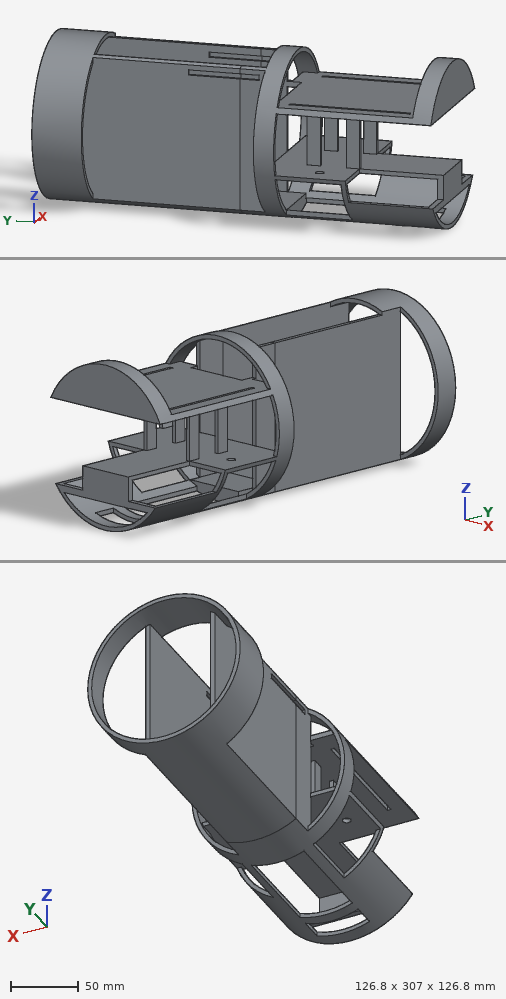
import cadquery as cq


LENGTH = 307.0
OUTER_RADIUS = 126.8 / 2
INNER_RADIUS = 120.0 / 2
SPLIT_Y = 154.7

FRONT_RING_START = 119.7
FRONT_RING_END = 135.5

DECK_BOTTOM = 28.2
DECK_TOP = 32.5
DECK_END = 131.0
DECK_NOTCH_START = 123.5
DECK_NOTCH_LEFT = -31.5
CAP_LENGTH = 14.7
DECK_SLOT_X = 42.5
DECK_SLOT_WIDTH = 2.8
DECK_SLOT_START = 20.3
DECK_SLOT_END = 113.5

SHELF_TOP = -18.0
SHELF_BOTTOM = -21.5
SHELF_START = 65.0
SHELF_HOLE_DIAMETER = 6.5
SHELF_HOLE_X = DECK_SLOT_X
SHELF_HOLE_Y = 90.3

BOX_HALF_WIDTH = 23.5
BOX_WALL = 4.5
POST_THICKNESS = 3.0
POST_WIDTH = 10.0
POST_STARTS = (SHELF_START, 95.5)

CRADLE_TOP = -36.8
CROSSBAR_BOTTOM = -42.0
CRADLE_ARCH_WIDTH = 3.7
WINDOW_X = 29.5
BOTTOM_OPENING_HALF_WIDTH = 21.8
BOTTOM_SLOT_START = 12.0
BOTTOM_SLOT_END = 30.7
BOTTOM_OPENING_START = 40.2

LEFT_PLATE_OUTER = -33.0
RIGHT_PLATE_OUTER = 24.5
PLATE_THICKNESS = 3.7
PLATE_TOP = 56.0
PLATE_END = 288.3
LEFT_PLATE_START = 130.2
RIGHT_PLATE_START = 134.8
FLOOR_TOP = -52.2

GROOVE_DEPTH = 2.5
GROOVE_BOTTOM = 46.5
GROOVE_TOP = 50.5
GROOVE_START = 140.0
GROOVE_END = 195.0

REAR_RING_START = 268.5

LEFT_PLATE_INNER = LEFT_PLATE_OUTER + PLATE_THICKNESS
RIGHT_PLATE_INNER = RIGHT_PLATE_OUTER - PLATE_THICKNESS
WINDOW_START = SHELF_START + CRADLE_ARCH_WIDTH
FULL_WIDTH = (-OUTER_RADIUS, OUTER_RADIUS)


def block(x_range, y_range, z_range):
    """Box between the given limits along X, Y and Z."""
    x0, x1 = x_range
    y0, y1 = y_range
    z0, z1 = z_range
    return cq.Workplane("XY").box(x1 - x0, y1 - y0, z1 - z0, centered=False).translate((x0, y0, z0))


def disc(radius, start, end):
    """Round bar on the tube axis, from start to end along Y."""
    return cq.Workplane("XZ", origin=(0, start, 0)).circle(radius).extrude(start - end)


def ring(start, end):
    """Length of tube from start to end along Y."""
    return disc(OUTER_RADIUS, start, end).cut(disc(INNER_RADIUS, start, end))


def slab(x_range, y_range, z_range):
    """Box trimmed to the outside of the tube."""
    return block(x_range, y_range, z_range).intersect(disc(OUTER_RADIUS, *y_range))


def side_plate(outer_x, inner_x, groove_x, start, end):
    """Upright plate with a groove running along the face at groove_x."""
    x_range = (min(outer_x, inner_x), max(outer_x, inner_x))
    plate = slab(x_range, (start, end), (-OUTER_RADIUS, PLATE_TOP))
    groove = block(
        (groove_x, groove_x + GROOVE_DEPTH), (GROOVE_START, GROOVE_END), (GROOVE_BOTTOM, GROOVE_TOP)
    )
    return plate.cut(groove)


def side_plates(left_start, right_start, end):
    """Left and right plates, which may start at different places but end together."""
    left = side_plate(LEFT_PLATE_OUTER, LEFT_PLATE_INNER, LEFT_PLATE_OUTER, left_start, end)
    right = side_plate(RIGHT_PLATE_OUTER, RIGHT_PLATE_INNER, RIGHT_PLATE_INNER, right_start, end)
    return left.union(right)


def floor(start, end):
    """Floor between the side plates, round underneath."""
    return slab((LEFT_PLATE_INNER, RIGHT_PLATE_INNER), (start, end), (-OUTER_RADIUS, FLOOR_TOP))


def top_deck():
    """Slotted deck with the nose cap, notched at the rear and tied to the right plate by a tab."""
    deck = slab(FULL_WIDTH, (0, DECK_END), (DECK_BOTTOM, DECK_TOP))
    cap = slab(FULL_WIDTH, (0, CAP_LENGTH), (DECK_BOTTOM, OUTER_RADIUS))
    notch = block(
        (DECK_NOTCH_LEFT, RIGHT_PLATE_INNER), (DECK_NOTCH_START, DECK_END), (DECK_BOTTOM, DECK_TOP)
    )
    tab = block(
        (RIGHT_PLATE_INNER, RIGHT_PLATE_OUTER), (DECK_END, RIGHT_PLATE_START), (DECK_BOTTOM, DECK_TOP)
    )
    deck = deck.union(cap).cut(notch).union(tab)
    for x in (-DECK_SLOT_X, DECK_SLOT_X):
        deck = deck.cut(
            block(
                (x - DECK_SLOT_WIDTH / 2, x + DECK_SLOT_WIDTH / 2),
                (DECK_SLOT_START, DECK_SLOT_END),
                (DECK_BOTTOM, DECK_TOP),
            )
        )
    return deck


def shelf():
    """Middle shelf with two round holes."""
    plate = slab(FULL_WIDTH, (SHELF_START, DECK_END), (SHELF_BOTTOM, SHELF_TOP))
    holes = (
        cq.Workplane("XY", origin=(0, SHELF_HOLE_Y, SHELF_BOTTOM))
        .pushPoints([(-SHELF_HOLE_X, 0), (SHELF_HOLE_X, 0)])
        .circle(SHELF_HOLE_DIAMETER / 2)
        .extrude(SHELF_TOP - SHELF_BOTTOM)
    )
    return plate.cut(holes)


def posts():
    """Four posts between the shelf and the top deck."""
    solid = cq.Workplane("XY")
    for start in POST_STARTS:
        for x in (-BOX_HALF_WIDTH, BOX_HALF_WIDTH - POST_THICKNESS):
            solid = solid.union(
                block((x, x + POST_THICKNESS), (start, start + POST_WIDTH), (SHELF_TOP, DECK_BOTTOM))
            )
    return solid


def box():
    """Roof and front wall of the box."""
    width = (-BOX_HALF_WIDTH, BOX_HALF_WIDTH)
    roof = block(width, (0, SHELF_START), (SHELF_BOTTOM, SHELF_TOP))
    front_wall = block(width, (0, BOX_WALL), (CRADLE_TOP, SHELF_TOP))
    return roof.union(front_wall)


def cradle():
    """Lower shell with a crossbar at its front, an arch at the shelf and a window on each side."""
    shell = ring(0, FRONT_RING_START)
    shell = shell.cut(block(FULL_WIDTH, (0, SHELF_START), (CRADLE_TOP, OUTER_RADIUS)))
    shell = shell.cut(block(FULL_WIDTH, (SHELF_START, FRONT_RING_START), (SHELF_TOP, OUTER_RADIUS)))
    window_y = (WINDOW_START, FRONT_RING_START)
    window_z = (-OUTER_RADIUS, SHELF_BOTTOM)
    shell = shell.cut(block((-OUTER_RADIUS, -WINDOW_X), window_y, window_z))
    shell = shell.cut(block((WINDOW_X, OUTER_RADIUS), window_y, window_z))
    crossbar = slab(FULL_WIDTH, (0, BOX_WALL), (CROSSBAR_BOTTOM, CRADLE_TOP))
    return shell.union(crossbar)


def bottom_openings():
    """Slot and long opening in the underside of the cradle, with a bar left between them."""
    width = (-BOTTOM_OPENING_HALF_WIDTH, BOTTOM_OPENING_HALF_WIDTH)
    depth = (-OUTER_RADIUS, CROSSBAR_BOTTOM)
    slot = block(width, (BOTTOM_SLOT_START, BOTTOM_SLOT_END), depth)
    opening = block(width, (BOTTOM_OPENING_START, FRONT_RING_START), depth)
    return slot.union(opening)


def front_chassis():
    """Front body: everything ahead of the joint."""
    return (
        ring(FRONT_RING_START, FRONT_RING_END)
        .union(cradle())
        .union(floor(FRONT_RING_START, SPLIT_Y))
        .cut(bottom_openings())
        .union(top_deck())
        .union(shelf())
        .union(posts())
        .union(box())
        .union(side_plates(LEFT_PLATE_START, RIGHT_PLATE_START, SPLIT_Y))
    )


def rear_chassis():
    """Rear body: the rear ring, cut away beside the right plate, with plates and floor."""
    side_cut = block(
        (RIGHT_PLATE_OUTER, OUTER_RADIUS), (REAR_RING_START, PLATE_END), (-OUTER_RADIUS, OUTER_RADIUS)
    )
    return (
        ring(REAR_RING_START, LENGTH)
        .cut(side_cut)
        .union(side_plates(SPLIT_Y, SPLIT_Y, PLATE_END))
        .union(floor(SPLIT_Y, PLATE_END))
    )


front = front_chassis()
rear = rear_chassis()

result = cq.Compound.makeCompound([front.val(), rear.val()])